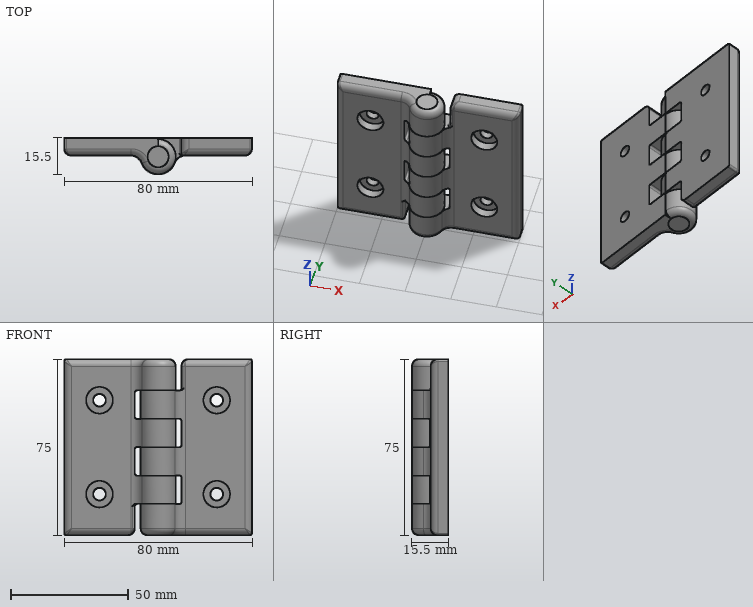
import cadquery as cq
import math

width = 80.0
height = 75.0
half_width = width / 2
half_height = height / 2

plate_thickness = 7.5
barrel_radius = 7.5
axis_depth = 8.0
neck_radius = 5.0
front_round = 3.0
small_round = 1.0
pin_radius = barrel_radius - front_round

middle_knuckle = 12.1
end_knuckle = half_height - 2 * middle_knuckle
relief_x = 9.9
relief_depth = 4 * (axis_depth + barrel_radius)
shoulder_z = end_knuckle - half_height

hole_x = 25.0
hole_z = 20.0
hole_diameter = 5.3
counterbore_diameter = 11.4
counterbore_depth = 4.0

centre_distance = barrel_radius + neck_radius
neck_centre_y = -plate_thickness - neck_radius
neck_centre_x = -math.sqrt(centre_distance ** 2 - (neck_centre_y + axis_depth) ** 2)
neck_centre = (neck_centre_x, neck_centre_y)
neck_start = (neck_centre_x, -plate_thickness)
barrel_share = barrel_radius / centre_distance
neck_end = (neck_centre_x * barrel_share, -axis_depth + (neck_centre_y + axis_depth) * barrel_share)


def point_on_circle(centre, radius, angle):
    """Point at an angle in radians, counted from +X."""
    return (centre[0] + radius * math.cos(angle), centre[1] + radius * math.sin(angle))


def leaf_blank():
    """Full-height plate with barrel, its front outer edges rounded."""
    axis = (0, -axis_depth)
    barrel_end_angle = math.atan2(neck_end[1] + axis_depth, neck_end[0])
    barrel_middle_angle = (math.pi / 2 + barrel_end_angle) / 2
    neck_middle_angle = (barrel_end_angle + math.pi + math.pi / 2) / 2
    blank = (
        cq.Workplane("XY")
        .workplane(offset=-half_height)
        .moveTo(-half_width, 0)
        .lineTo(0, 0)
        .lineTo(0, barrel_radius - axis_depth)
        .threePointArc(point_on_circle(axis, barrel_radius, barrel_middle_angle), neck_end)
        .threePointArc(point_on_circle(neck_centre, neck_radius, neck_middle_angle), neck_start)
        .lineTo(-half_width, -plate_thickness)
        .close()
        .extrude(height)
    )
    rounded = blank.edges(cq.NearestToPointSelector((-half_width, -plate_thickness, 0)))
    contour_points = [
        ((neck_start[0] - half_width) / 2, -plate_thickness),
        point_on_circle(neck_centre, neck_radius, neck_middle_angle),
        point_on_circle(axis, barrel_radius, barrel_middle_angle),
    ]
    for x, y in contour_points:
        for z in (-half_height, half_height):
            rounded = rounded.add(blank.edges(cq.NearestToPointSelector((x, y, z))))
    return rounded.fillet(front_round)


def middle_relief():
    """Space for one middle knuckle of the other leaf, centred on Z = 0."""
    relief = cq.Workplane("XY").box(
        relief_x + barrel_radius, relief_depth, middle_knuckle, centered=(False, True, True)
    ).translate((-relief_x, 0, 0))
    return relief.edges("|Y and <X").fillet(small_round)


def end_relief():
    """Space below the leaf for the end knuckle of the other leaf, flared round the plate corner."""
    arc_inset = front_round * (1 - math.sqrt(0.5))
    return (
        cq.Workplane("XZ")
        .workplane(offset=-relief_depth / 2)
        .moveTo(barrel_radius, -half_height)
        .lineTo(-relief_x - front_round, -half_height)
        .threePointArc(
            (-relief_x - arc_inset, -half_height + arc_inset),
            (-relief_x, -half_height + front_round))
        .lineTo(-relief_x, shoulder_z)
        .lineTo(barrel_radius, shoulder_z)
        .close()
        .extrude(relief_depth)
    )


def screw_holes():
    """Two counterbored holes, one above the other."""
    places = [(-hole_x, -hole_z), (-hole_x, hole_z)]
    holes = cq.Workplane("XZ").pushPoints(places).circle(hole_diameter / 2).extrude(plate_thickness)
    counterbores = (
        cq.Workplane("XZ")
        .workplane(offset=plate_thickness - counterbore_depth)
        .pushPoints(places)
        .circle(counterbore_diameter / 2)
        .extrude(counterbore_depth)
    )
    return holes.union(counterbores)


def hinge_pin():
    """Plain pin, flush with both ends of the barrel."""
    return (
        cq.Workplane("XY")
        .workplane(offset=-half_height)
        .center(0, -axis_depth)
        .circle(pin_radius)
        .extrude(height)
    )


def round_shoulder(leaf):
    """Round the plate's front edge beside the end relief together with the hollow corner above it."""
    front_edge = cq.NearestToPointSelector((-relief_x, -plate_thickness, shoulder_z - end_knuckle / 2))
    hollow_corner = cq.NearestToPointSelector((-relief_x, -plate_thickness / 2, shoulder_z))
    edges = leaf.edges("|Z").edges(front_edge).add(leaf.edges("|Y").edges(hollow_corner))
    return edges.fillet(small_round)


def hinge_leaf():
    """Leaf on the -X side, with the topmost knuckle."""
    leaf = leaf_blank().edges("|Y and <X").fillet(small_round)
    for relief_z in (-middle_knuckle / 2, 3 * middle_knuckle / 2):
        leaf = leaf.cut(middle_relief().translate((0, 0, relief_z)))
    leaf = round_shoulder(leaf.cut(end_relief()))
    return leaf.cut(screw_holes()).cut(hinge_pin()).solids()


leaves = [hinge_leaf().val().rotate((0, 0, 0), (0, 1, 0), turn) for turn in (0, 180)]
pin = hinge_pin()

result = cq.Compound.makeCompound([*leaves, pin.val()])